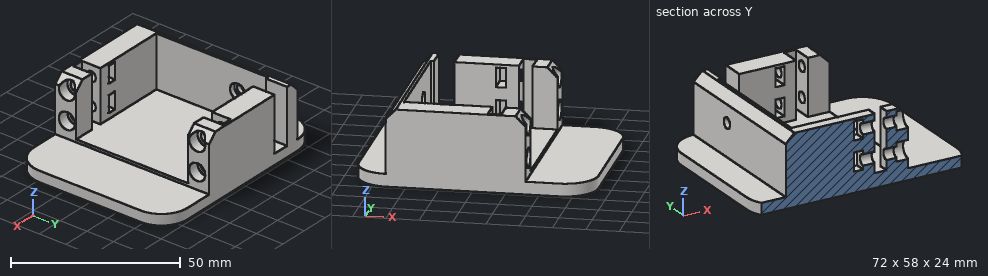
import cadquery as cq

base_length = 72.0
base_width = 58.0
base_thickness = 4.0
corner_radius = 10.0

overall_height = 24.0
block_left = -base_length / 2 + corner_radius
block_right = 16.0
block_chamfer = 3.0

front_wall = 4.0
side_wall = 8.0
cavity_left = block_left + front_wall
cavity_half_width = base_width / 2 - side_wall
floor_step = 1.0
cavity_floor = base_thickness + floor_step

panel_slot_left = 4.5
panel_slot_width = 4.0
panel_slot_end_wall = 1.0
panel_slot_length = base_width - 2 * panel_slot_end_wall

notch_offset = 1.0
notch_left = cavity_left + notch_offset
notch_width = 6.0
notch_floor = base_thickness

cable_hole_diameter = 3.5
cable_hole_y = 9.5
cable_hole_z = 15.0
cable_recess_diameter = 5.5
cable_recess_depth = 2.0

screw_diameter = 3.5
screw_head_diameter = 6.0
screw_head_depth = 4.0
screw_inset = 4.5
screw_y = base_width / 2 - screw_inset
screw_heights = (10.0, 20.0)
nut_pocket_left = -2.5
nut_pocket_thickness = 3.0
nut_pocket_height = 6.0
nut_pocket_depth = screw_y - cavity_half_width + nut_pocket_height / 2


def box_between(x_range, y_range, z_range):
    """Box spanning the given (low, high) range on each axis."""
    sizes = [high - low for low, high in (x_range, y_range, z_range)]
    corner = (x_range[0], y_range[0], z_range[0])
    return cq.Workplane("XY").box(*sizes, centered=False).translate(corner)


def rod_along_x(diameter, x_start, x_end, y, z):
    """Cylinder parallel to X, used to cut a hole."""
    return (
        cq.Workplane("YZ", origin=(x_start, y, z))
        .circle(diameter / 2)
        .extrude(x_end - x_start)
    )


def make_base():
    return (
        cq.Workplane("XY")
        .rect(base_length, base_width)
        .extrude(base_thickness)
        .edges("|Z")
        .fillet(corner_radius)
    )


def make_block():
    half_width = base_width / 2
    block = box_between((block_left, block_right), (-half_width, half_width), (0, overall_height))
    return block.edges("|Y and >Z").chamfer(block_chamfer)


def make_cavity():
    return box_between(
        (cavity_left, block_right),
        (-cavity_half_width, cavity_half_width),
        (cavity_floor, overall_height),
    )


def make_panel_slot():
    half_length = panel_slot_length / 2
    return box_between(
        (panel_slot_left, panel_slot_left + panel_slot_width),
        (-half_length, half_length),
        (cavity_floor, overall_height),
    )


def make_notch():
    return box_between(
        (notch_left, notch_left + notch_width),
        (cavity_half_width, base_width / 2),
        (notch_floor, overall_height),
    )


def make_cable_hole():
    """Cable hole with a wider recess on the cavity side of the wall."""
    recess_start = cavity_left - cable_recess_depth
    hole = rod_along_x(cable_hole_diameter, block_left, cavity_left, cable_hole_y, cable_hole_z)
    recess = rod_along_x(cable_recess_diameter, recess_start, cavity_left, cable_hole_y, cable_hole_z)
    return hole.union(recess)


def make_screw_cutter(z):
    """Screw hole, head recess and nut pocket in the rear side wall at height z."""
    hole = rod_along_x(screw_diameter, nut_pocket_left, block_right, screw_y, z)
    head = rod_along_x(screw_head_diameter, block_right - screw_head_depth, block_right, screw_y, z)
    nut_pocket = box_between(
        (nut_pocket_left, nut_pocket_left + nut_pocket_thickness),
        (cavity_half_width, cavity_half_width + nut_pocket_depth),
        (z - nut_pocket_height / 2, z + nut_pocket_height / 2),
    )
    return hole.union(head).union(nut_pocket)


result = make_base().union(make_block())
for cutter in (make_cavity(), make_panel_slot(), make_notch(), make_cable_hole()):
    result = result.cut(cutter)
for screw_z in screw_heights:
    screw_cutter = make_screw_cutter(screw_z)
    result = result.cut(screw_cutter).cut(screw_cutter.mirror("XZ"))